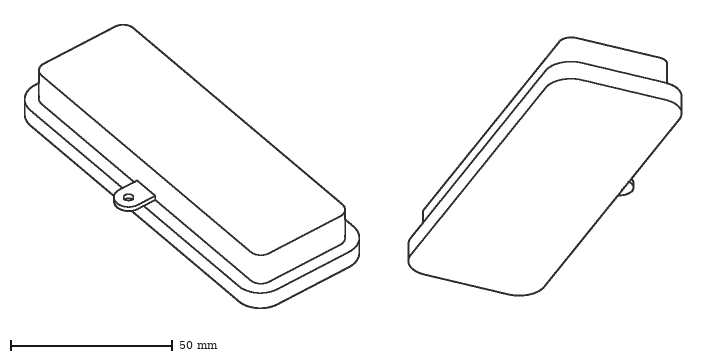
import cadquery as cq

flange_length = 121.8
flange_width = 45.3
flange_height = 6.3
flange_corner_radius = 8.5

block_length = 113.2
block_width = 36.2
block_corner_radius = 4.0
total_height = 18.1

total_width = 52.3
tab_width = 9.1
tab_thickness = 1.7
tab_hole_diameter = 3.0


def rounded_plate(length, width, height, corner_radius):
    """Plate standing on Z = 0 with rounded vertical edges."""
    return cq.Workplane("XY").box(length, width, height, (True, True, False)).edges("|Z").fillet(corner_radius)


def fastening_tab():
    """Flat tab with a round end and an eye, starting at the block's front wall."""
    tab_radius = tab_width / 2
    tip_y = flange_width / 2 - total_width
    eye_y = tip_y + tab_radius
    wall_y = -block_width / 2
    return (
        cq.Workplane("XY", origin=(0, 0, flange_height))
        .moveTo(-tab_radius, wall_y)
        .lineTo(-tab_radius, eye_y)
        .threePointArc((0, tip_y), (tab_radius, eye_y))
        .lineTo(tab_radius, wall_y)
        .close()
        .moveTo(0, eye_y)
        .circle(tab_hole_diameter / 2)
        .extrude(tab_thickness)
    )


flange = rounded_plate(flange_length, flange_width, flange_height, flange_corner_radius)
block = rounded_plate(block_length, block_width, total_height, block_corner_radius)

result = flange.union(block).union(fastening_tab())